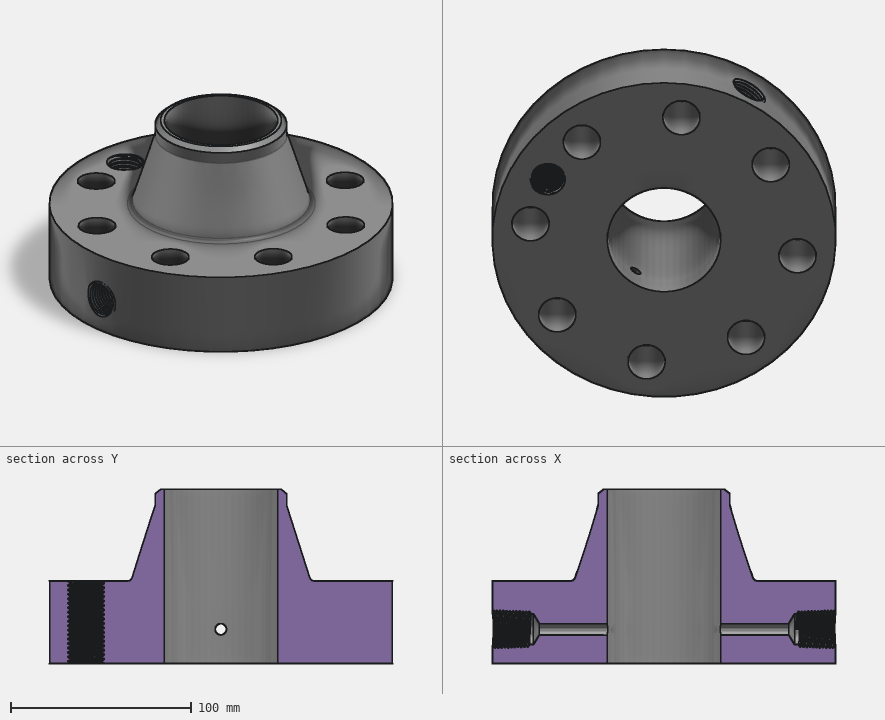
import cadquery as cq
import math

PLATE_DIAMETER = 190.5
PLATE_THICKNESS = 46.0
TOTAL_HEIGHT = 96.8
BORE_DIAMETER = 62.9
HUB_BASE_DIAMETER = 100.0
HUB_FILLET_RADIUS = 2.9
COLLAR_DIAMETER = 73.2
COLLAR_BOTTOM = 88.0
BEVEL_HEIGHT = 2.5
BEVEL_WIDTH = 3.0

BOLT_COUNT = 8
BOLT_CIRCLE_DIAMETER = 149.4
BOLT_HOLE_DIAMETER = 20.5

JACK_MAJOR_DIAMETER = 20.0
JACK_MINOR_DIAMETER = 17.3
JACK_MOUTH_DIAMETER = 20.4
JACK_PITCH = 2.5
JACK_CREST_WIDTH = JACK_PITCH / 8

TAP_HEIGHT = 19.0
TAP_MAJOR_DIAMETER = 21.1
TAP_PITCH = 1.81
TAP_THREAD_HEIGHT = 1.43
TAP_CREST_WIDTH = 0.05
TAP_SLOPE = 1 / 32
TAP_DEPTH = 22.9
TAP_POINT_ANGLE = 118
TAP_DRILL_DIAMETER = 6.1

THREAD_OVERLAP = 0.05
THREAD_FLANK_SLOPE = math.tan(math.radians(30))
RUNOUT_TURNS = 1
CYLINDRICAL_HELIX = 360
CLEARANCE_TURNS = 3

FOOT_BAND = 2.0


def make_flange():
    """Plate and neck revolved as one profile, with a fillet where they meet."""
    plate_radius = PLATE_DIAMETER / 2
    bore_radius = BORE_DIAMETER / 2
    collar_radius = COLLAR_DIAMETER / 2
    profile = [
        (bore_radius, 0),
        (plate_radius, 0),
        (plate_radius, PLATE_THICKNESS),
        (HUB_BASE_DIAMETER / 2, PLATE_THICKNESS),
        (collar_radius, COLLAR_BOTTOM),
        (collar_radius, TOTAL_HEIGHT - BEVEL_HEIGHT),
        (collar_radius - BEVEL_WIDTH, TOTAL_HEIGHT),
        (bore_radius, TOTAL_HEIGHT),
    ]
    body = cq.Workplane("XZ").polyline(profile).close().revolve(360, (0, 0), (0, 1))
    foot_zone = cq.selectors.BoxSelector(
        (-plate_radius, -plate_radius, PLATE_THICKNESS - FOOT_BAND),
        (plate_radius, plate_radius, PLATE_THICKNESS + FOOT_BAND),
        boundingbox=False,
    )
    foot_edge = body.edges("%CIRCLE").edges(foot_zone).edges(cq.selectors.RadiusNthSelector(0))
    return foot_edge.fillet(HUB_FILLET_RADIUS)


def make_bolt_holes():
    """Plain through holes, straddling the X and Y axes."""
    return (
        cq.Workplane("XY")
        .polarArray(BOLT_CIRCLE_DIAMETER / 2, 180 / BOLT_COUNT, 360, BOLT_COUNT)
        .circle(BOLT_HOLE_DIAMETER / 2)
        .extrude(PLATE_THICKNESS)
    )


def make_thread_ridge(root_radius, height, crest_width, pitch, length, cone_angle=CYLINDRICAL_HELIX):
    """Tapering ridge wound up the Z axis, sunk slightly below the root surface it stands on."""
    inner = root_radius - THREAD_OVERLAP
    outer = root_radius + height
    half_crest = crest_width / 2
    half_root = half_crest + (outer - inner) * THREAD_FLANK_SLOPE
    helix = cq.Wire.makeHelix(pitch, length, inner, angle=cone_angle)
    outline = [(inner, -half_root), (outer, -half_crest), (outer, half_crest), (inner, half_root)]
    section = cq.Workplane("XZ").polyline(outline).close()
    return section.sweep(cq.Workplane(obj=helix), isFrenet=True)


def make_jack_hole():
    """Threaded through hole on the bolt circle, countersunk at the top face of the plate."""
    minor_radius = JACK_MINOR_DIAMETER / 2
    height = JACK_MAJOR_DIAMETER / 2 - minor_radius
    runout = RUNOUT_TURNS * JACK_PITCH
    clearance = CLEARANCE_TURNS * JACK_PITCH
    ridge_length = PLATE_THICKNESS + 2 * runout
    ridge = make_thread_ridge(minor_radius, height, JACK_CREST_WIDTH, JACK_PITCH, ridge_length)
    core = (
        cq.Workplane("XY")
        .workplane(offset=-clearance)
        .circle(minor_radius)
        .extrude(PLATE_THICKNESS + 2 * clearance)
    )
    mouth_radius = JACK_MOUTH_DIAMETER / 2
    countersink_depth = mouth_radius - minor_radius
    countersink = cq.Workplane(obj=cq.Solid.makeCone(minor_radius, mouth_radius, countersink_depth))
    countersink = countersink.translate((0, 0, PLATE_THICKNESS - countersink_depth))
    hole = core.union(ridge.translate((0, 0, -runout))).union(countersink)
    return hole.translate((-BOLT_CIRCLE_DIAMETER / 2, 0, 0))


def make_pressure_tap():
    """Tapered threaded hole from the -Y side of the rim, with a drilled point and a hole to the bore."""
    rim = PLATE_DIAMETER / 2
    floor = rim - TAP_DEPTH
    mouth_radius = TAP_MAJOR_DIAMETER / 2 - TAP_THREAD_HEIGHT
    floor_radius = mouth_radius - TAP_DEPTH * TAP_SLOPE
    outer_end = rim + CLEARANCE_TURNS * TAP_PITCH
    outer_radius = mouth_radius + (outer_end - rim) * TAP_SLOPE
    point = floor - floor_radius / math.tan(math.radians(TAP_POINT_ANGLE / 2))
    outline = [(0, point), (floor_radius, floor), (outer_radius, outer_end), (0, outer_end)]
    core = cq.Workplane("XZ").polyline(outline).close().revolve(360, (0, 0), (0, 1))
    runout = RUNOUT_TURNS * TAP_PITCH
    ridge = make_thread_ridge(
        floor_radius + runout * TAP_SLOPE,
        TAP_THREAD_HEIGHT,
        TAP_CREST_WIDTH,
        TAP_PITCH,
        TAP_DEPTH,
        math.degrees(math.atan(TAP_SLOPE)),
    ).translate((0, 0, floor + runout))
    drill = cq.Workplane("XY").circle(TAP_DRILL_DIAMETER / 2).extrude(rim)
    tap = core.union(ridge).union(drill)
    return tap.rotate((0, 0, 0), (1, 0, 0), 90).translate((0, 0, TAP_HEIGHT))


tap = make_pressure_tap()
opposite_tap = tap.rotate((0, 0, 0), (0, 0, 1), 180)
result = make_flange().cut(make_bolt_holes()).cut(make_jack_hole()).cut(tap).cut(opposite_tap)